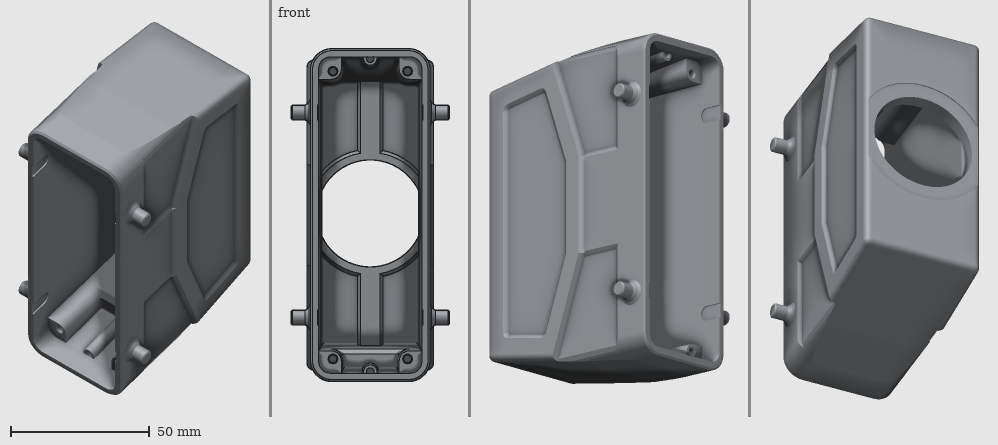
import cadquery as cq
import math


depth = 76.0
half_height = 60.0
base_half_width = 21.54
base_corner = 7.7
base_end = 60.0
straight_depth = 11.3
bend_depth = 32.4
bend_half_height = 57.7
back_half_height = 50.3
bend_reach = 0.5
rim_chamfer = 0.7

slab_half_width = 22.8
slab_round = 2.4
slab_front = 31.0
slab_straight_half = 18.1
slab_slant = 0.355
slab_foot_offset = 1.3
slab_step_run = 1.7

label_front = 38.6
label_back = 66.2
label_straight_half = 17.0
label_slant_end = 48.6
label_end_slope = math.tan(math.radians(10))
label_depth = 1.2
label_wall_run = 1.5
label_round = 1.0

panel_half_width = 20.5
panel_front = 14.8
panel_inner_z = 19.3
panel_wall_run = 1.8
panel_bevel_z = 55.1
panel_bevel_end_z = 56.9
panel_bevel_half_width = 19.7

mouth_half_width = 18.6
mouth_half_height = 57.0
mouth_corner = 4.3
mouth_depth = 8.6
floor_depth = 72.7
floor_half_width = 17.4
floor_half_height = 47.8
floor_round = 0.8

block_front = 28.8
block_foot_z = -55.5
block_edge_z = -50.0
block_bevel = 1.8
root_round = 0.7

hole_diameter = 38.5
hole_z = 0.6
spot_face_diameter = 50.0
spot_face_depth = 0.4
ring_radius = 22.0
rib_half_width = 3.5
pad_height = 2.4
pad_flare = 1.2

boss_inner_x = 10.5
boss_inner_z = 49.0
boss_round = 3.6
boss_draft = 1.9
boss_hole_x = 13.5
boss_hole_z = 51.8
boss_hole_diameter = 2.8
boss_hole_mouth_diameter = 3.5
boss_hole_depth = 14.4

post_z = 56.4
post_diameter = 4.8
post_reach = 6.0
post_hole_diameter = 2.8
post_hole_depth = 12.0

pin_y = 6.4
pin_z = 37.0
pin_diameter = 5.4
pin_tip_x = 28.5
pin_chamfer = 0.5
pin_root_radius = 4.7
pin_root_length = 0.6
pin_collar_radius = 3.7
pin_collar_length = 1.9
pin_slot_depth = 0.5

SIDES = (-1, 1)
CORNERS = [(sx, sz) for sx in SIDES for sz in SIDES]


def prism_x(points, half_width):
    """Prism with a (y, z) outline, centred on x = 0."""
    plane = cq.Workplane("YZ", origin=(-half_width, 0, 0))
    return plane.polyline(points).close().extrude(2 * half_width)


def prism_y(start, width, height, length):
    """Box centred on the Y axis, starting at y = start and running toward +Y."""
    plane = cq.Workplane("XZ", origin=(0, start, 0))
    return plane.rect(width, height).extrude(-length)


def cylinder_y(x, z, diameter, start, end):
    return cq.Workplane("XZ", origin=(x, start, z)).circle(diameter / 2).extrude(start - end)


def mirrored_points(upper):
    """Outline closed by the mirror image of its upper half about z = 0."""
    return upper + [(y, -z) for y, z in reversed(upper)]


def loft_x(near_points, near_x, far_points, far_x):
    """Straight loft between two (y, z) outlines on planes of constant x."""
    near = cq.Workplane("YZ", origin=(near_x, 0, 0)).polyline(near_points).close()
    far = near.workplane(offset=far_x - near_x).polyline(far_points).close()
    return far.loft(ruled=True)


def side_profile(half_width):
    """Body with the tilted ends of the shell, each tilt running into the next through a short arc."""
    front_slope = (half_height - bend_half_height) / (bend_depth - straight_depth)
    back_slope = (bend_half_height - back_half_height) / (depth - bend_depth)
    arc_end = (bend_depth + bend_reach, bend_half_height - bend_reach * back_slope)
    upper_half = (
        cq.Workplane("YZ", origin=(-half_width, 0, 0))
        .lineTo(0, half_height)
        .lineTo(straight_depth, half_height)
        .lineTo(bend_depth - bend_reach, bend_half_height + bend_reach * front_slope)
        .tangentArcPoint(arc_end, relative=False)
        .lineTo(depth, back_half_height)
        .lineTo(depth, 0)
        .close()
        .extrude(2 * half_width)
    )
    return upper_half.union(upper_half.mirror("XY"))


def make_panel_cutter():
    """Cutter for the recessed panel in the +X, +Z corner."""
    far_y = depth + 1.2
    far_z = half_height + 1.2

    def outline(offset):
        front = panel_front - offset
        inner = panel_inner_z - offset
        return [(front, inner), (far_y, inner), (far_y, far_z), (front, far_z)]

    cutter = loft_x(outline(0), panel_half_width, outline(panel_wall_run), base_half_width)
    bevel = (
        cq.Workplane("XZ", origin=(0, panel_front, 0))
        .moveTo(panel_half_width, panel_bevel_z)
        .lineTo(panel_bevel_half_width, panel_bevel_end_z)
        .lineTo(base_half_width, panel_bevel_end_z)
        .lineTo(base_half_width, panel_bevel_z)
        .close()
        .extrude(-depth)
    )
    return cutter.union(bevel)


def make_base():
    """Rounded front part of the shell with its recessed panels."""
    tube = prism_y(0, 2 * base_half_width, 2 * half_height, depth).edges("|Y").fillet(base_corner)
    tube = tube.faces("<Y").edges().chamfer(rim_chamfer)
    base = tube.intersect(side_profile(slab_half_width))
    base = base.intersect(prism_y(0, 2 * base_half_width, 2 * half_height, base_end))
    cutter = make_panel_cutter()
    upper = cutter.union(cutter.mirror("YZ"))
    return base.cut(upper).cut(upper.mirror("XY"))


def slab_outline(front):
    """Side outline of the slab with its straight front edge at y = front."""
    end_z = half_height + 6
    end_y = front + slab_slant * (end_z - slab_straight_half)
    return mirrored_points([(front, slab_straight_half), (end_y, end_z), (depth + 1.2, end_z)])


def make_label_cutter():
    """Pocket with sloped walls in the +X side of the slab."""
    end_front_z = label_straight_half + (label_slant_end - label_front) / slab_slant
    end_back_z = end_front_z - (label_back - label_slant_end) * label_end_slope
    upper = [
        (label_front, label_straight_half),
        (label_slant_end, end_front_z),
        (label_back, end_back_z),
    ]
    wall_angle = math.degrees(math.atan2(label_wall_run, label_depth))
    floor = cq.Workplane("YZ", origin=(slab_half_width - label_depth, 0, 0))
    outline = floor.sketch().polygon(mirrored_points(upper) + upper[:1])
    outline = outline.vertices(">X or >Y or <Y").fillet(label_round).finalize()
    return outline.extrude(label_depth, taper=-wall_angle)


def make_slab():
    """Wider rear part of the shell with rounded edges and a label pocket in each side."""
    end_slope = (bend_half_height - back_half_height) / (depth - bend_depth)
    start = slab_front - slab_step_run
    start_half_height = back_half_height + end_slope * (depth - start)
    body = prism_x(mirrored_points([(start, start_half_height), (depth, back_half_height)]), slab_half_width)
    body = body.edges("not <Y").fillet(slab_round)

    top = slab_outline(slab_front)
    foot = slab_outline(slab_front - slab_foot_offset)
    right = loft_x(foot, panel_half_width, top, slab_half_width)
    core = prism_x(foot, panel_half_width)
    slab = body.intersect(core.union(right).union(right.mirror("YZ")))

    label = make_label_cutter()
    return slab.cut(label).cut(label.mirror("YZ"))


def make_slab_step():
    """Ramp between the shell side and the straight front edge of the slab, at +X."""
    return (
        cq.Workplane("XY")
        .moveTo(base_half_width, slab_front - slab_step_run)
        .lineTo(slab_half_width, slab_front)
        .lineTo(base_half_width, slab_front + 1.2)
        .close()
        .extrude(slab_straight_half, both=True)
    )


def make_pad():
    """Flared ring and vertical rib standing on the inside of the back wall."""
    flare_angle = math.degrees(math.atan2(pad_flare, pad_height))
    crest = cq.Workplane("XZ", origin=(0, floor_depth - pad_height, 0))
    ring = crest.center(0, hole_z).circle(ring_radius).extrude(-pad_height, taper=-flare_angle)
    crest = cq.Workplane("XZ", origin=(0, floor_depth - pad_height, 0))
    rib = crest.rect(2 * rib_half_width, 2 * half_height).extrude(-pad_height, taper=-flare_angle)
    room = prism_y(0, 2 * base_half_width - 2.4, 2 * floor_half_height + 1.2, depth)
    return ring.union(rib).intersect(room)


def boss_height(y):
    """Distance of the drafted inner boss face from the plane z = 0."""
    return boss_inner_z - (y - mouth_depth) * math.tan(math.radians(boss_draft))


def make_boss():
    """Drafted corner block of the cavity at +X, +Z."""
    size = 24.0
    block = cq.Workplane("XZ", origin=(0, mouth_depth, 0))
    block = block.center(boss_inner_x + size / 2, boss_inner_z + size / 2).sketch().rect(size, size)
    block = block.vertices("<X and <Y").fillet(boss_round).finalize()
    return block.extrude(mouth_depth - depth, taper=-boss_draft)


def make_boss_hole():
    """Screw hole with a countersunk mouth, on the Y axis."""
    countersink = (boss_hole_mouth_diameter - boss_hole_diameter) / 2
    drill = cylinder_y(0, 0, boss_hole_diameter, mouth_depth, mouth_depth + boss_hole_depth)
    cone = cq.Workplane("XZ", origin=(0, mouth_depth, 0)).circle(boss_hole_mouth_diameter / 2)
    return drill.union(cone.extrude(-countersink, taper=45))


def make_deep_cavity():
    """Cavity behind the mouth, narrowing toward the back wall."""
    block_top_y = block_front + block_bevel
    outline = [
        (mouth_depth, mouth_half_height),
        (floor_depth, floor_half_height),
        (floor_depth, -boss_height(floor_depth)),
        (block_top_y, -boss_height(block_top_y)),
        (block_front, block_edge_z),
        (block_front, block_foot_z),
        (mouth_depth, -mouth_half_height),
    ]
    plan = [
        (-mouth_half_width, mouth_depth),
        (mouth_half_width, mouth_depth),
        (floor_half_width, floor_depth),
        (-floor_half_width, floor_depth),
    ]
    taper = cq.Workplane("XY").polyline(plan).close().extrude(half_height, both=True)
    cavity = prism_x(outline, mouth_half_width).intersect(taper)

    boss = make_boss()
    bosses = boss.union(boss.mirror("YZ"))
    cavity = cavity.cut(bosses).cut(bosses.mirror("XY"))
    cavity = cavity.faces(">Y").edges().fillet(floor_round)
    block_sides = cq.selectors.BoxSelector(
        (-boss_inner_x, block_front - 0.1, block_foot_z),
        (boss_inner_x, block_front + 0.1, block_edge_z - 0.1),
    )
    cavity = cavity.edges(block_sides).fillet(root_round)
    post_length = block_front + post_reach - mouth_depth
    for side in SIDES:
        post = cq.Workplane("XZ", origin=(0, mouth_depth, side * post_z)).circle(post_diameter / 2)
        cavity = cavity.cut(post.extrude(-post_length, taper=-boss_draft))
    return cavity


def make_mouth():
    mouth = prism_y(0, 2 * mouth_half_width, 2 * mouth_half_height, mouth_depth)
    return mouth.edges("|Y").fillet(mouth_corner)


def make_pin_slots():
    """Round-ended grooves in the cavity sides, running in from the mouth to each pin."""
    half_width = mouth_half_width + pin_slot_depth
    radius = pin_diameter / 2
    slots = cq.Workplane("XY")
    for side in SIDES:
        groove = cq.Workplane("YZ", origin=(0, 0, side * pin_z)).moveTo(0, -radius).lineTo(pin_y, -radius)
        groove = groove.threePointArc((pin_y + radius, 0), (pin_y, radius)).lineTo(0, radius).close()
        slots = slots.union(groove.extrude(half_width, both=True))
    return slots


def make_pin():
    """Locking pin at +X, +Z with a flared two-step root."""
    radius = pin_diameter / 2
    root_x = base_half_width - 1.2
    pin = (
        cq.Workplane("XY")
        .moveTo(root_x, 0)
        .lineTo(root_x, pin_root_radius)
        .lineTo(base_half_width, pin_root_radius)
        .lineTo(base_half_width + pin_root_length, pin_collar_radius)
        .lineTo(base_half_width + pin_collar_length, radius)
        .lineTo(pin_tip_x - pin_chamfer, radius)
        .lineTo(pin_tip_x, radius - pin_chamfer)
        .lineTo(pin_tip_x, 0)
        .close()
        .revolve(360, (0, 0, 0), (1, 0, 0))
    )
    return pin.translate((0, pin_y, pin_z))


step = make_slab_step()
result = make_base().union(make_slab()).union(step).union(step.mirror("YZ"))

result = result.cut(make_mouth().union(make_deep_cavity())).cut(make_pin_slots())
result = result.union(make_pad())

result = result.cut(cylinder_y(0, hole_z, hole_diameter, floor_depth - pad_height, depth))
result = result.cut(cylinder_y(0, hole_z, spot_face_diameter, depth - spot_face_depth, depth))

boss_hole = make_boss_hole()
for sx, sz in CORNERS:
    result = result.cut(boss_hole.translate((sx * boss_hole_x, 0, sz * boss_hole_z)))
for sz in SIDES:
    result = result.cut(
        cylinder_y(0, sz * post_z, post_hole_diameter, mouth_depth, mouth_depth + post_hole_depth)
    )

pin = make_pin()
pins = pin.union(pin.mirror("YZ"))
result = result.union(pins).union(pins.mirror("XY"))